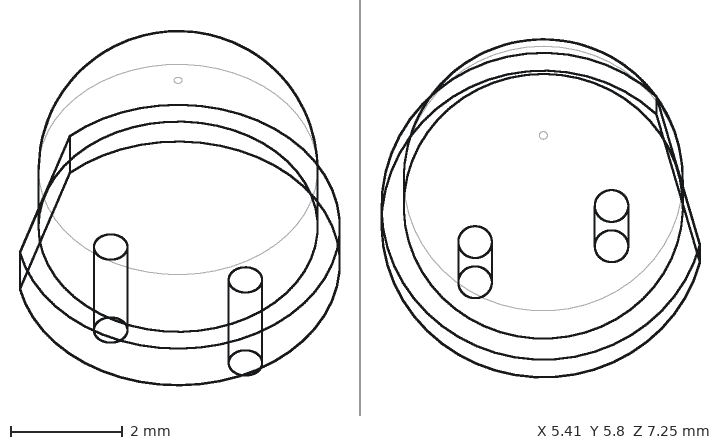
import cadquery as cq

total_height = 7.25

flange_diameter = 5.8
flange_height = 1.0
flat_offset = 2.51

lens_diameter = 5.0
dome_radius = 2.43

pin_diameter = 0.6
pin_length = 2.26
pin_pitch = 2.54

lens_radius = lens_diameter / 2
flange_top = pin_length + flange_height
lens_height = total_height - flange_top


def make_base():
    """Flange with its flat just clear of the lens, carrying the two pins."""
    flange = (
        cq.Workplane("XY", origin=(0, 0, pin_length))
        .circle(flange_diameter / 2)
        .extrude(flange_height)
    )
    flat_limit = (
        cq.Workplane("XY", origin=(-flat_offset, 0, pin_length))
        .rect(flange_diameter, flange_diameter, centered=(False, True))
        .extrude(flange_height)
    )
    base = flange.intersect(flat_limit)
    for side in (-1, 1):
        pin = (
            cq.Workplane("XY", origin=(side * pin_pitch / 2, 0, 0))
            .circle(pin_diameter / 2)
            .extrude(pin_length)
        )
        base = base.union(pin)
    return base


def make_lens():
    """Cylinder standing on the flange, rounded over into a dome."""
    return (
        cq.Workplane("XY", origin=(0, 0, flange_top))
        .circle(lens_radius)
        .extrude(lens_height)
        .faces(">Z")
        .edges()
        .fillet(dome_radius)
    )


base = make_base()
lens = make_lens()

result = cq.Compound.makeCompound([base.solids().val(), lens.solids().val()])